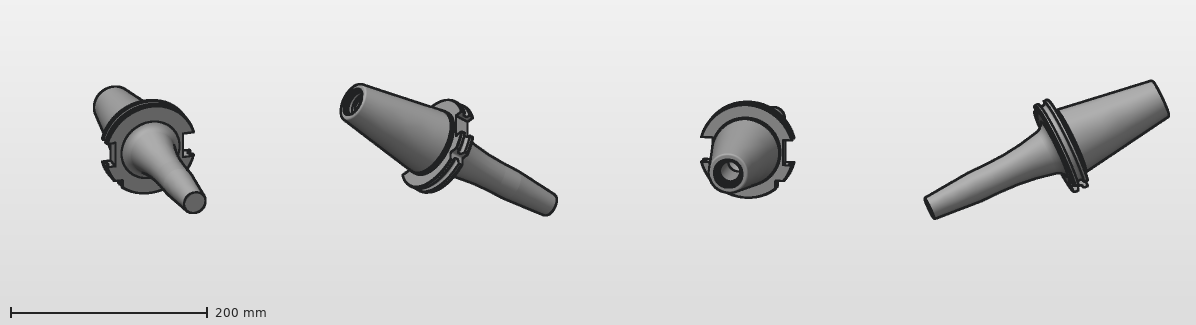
import cadquery as cq
import math

length = 261.5

taper_length = 101.2
taper_radius = 35.0
taper_slope = 7 / 48
tail_radius = taper_radius - taper_slope * taper_length
tail_fillet = 2.0

relief_end = 103.5
relief_radius = 34.3
collar_radius = 35.0

flange_start = 105.2
flange_end = 120.9
flange_radius = 48.7
front_bevel = 0.5
back_bevel_length = 1.5
back_bevel_depth = 0.8
groove_center = 112.7
groove_mouth_width = 6.5
groove_floor_width = 4.2
groove_floor_radius = 45.0
groove_corner_fillet = 1.3

neck_start_radius = 31.0
neck_joint_x = 129.2
neck_joint_radius = 23.3
neck_end = 190.0
neck_radius = 16.0
cone_start = 210.5
tip_radius = 12.0
tip_bevel = 1.3
tip_bevel_depth = 0.5

slot_width = 26.0
slot_floor_minus_y = 37.7
slot_floor_plus_y = 35.0
notch_offset = 29.5
notch_fillet = 1.5

bore_mouth_radius = 14.6
bore_radius = 13.5
mouth_bevel = bore_mouth_radius - bore_radius
counterbore_depth = 3.1
middle_radius = 12.3
middle_depth = 9.2
inner_radius = 10.5
bore_depth = 57.5
drill_tip_angle = 118.0


def turned_body():
    """Revolve the outer profile, from the tail to the nose."""
    neck_drop = neck_joint_radius - neck_radius
    neck_run = neck_end - neck_joint_x
    neck_arc_radius = (neck_run**2 + neck_drop**2) / (2 * neck_drop)
    joint_angle = math.asin(neck_run / neck_arc_radius)
    mid_angle = joint_angle / 2
    neck_middle = (
        neck_end - neck_arc_radius * math.sin(mid_angle),
        neck_radius + neck_arc_radius * (1 - math.cos(mid_angle)),
    )
    profile = (
        cq.Workplane("XY")
        .moveTo(length, 0)
        .lineTo(length, tip_radius - tip_bevel_depth)
        .lineTo(length - tip_bevel, tip_radius)
        .lineTo(cone_start, neck_radius)
        .lineTo(neck_end, neck_radius)
        .threePointArc(neck_middle, (neck_joint_x, neck_joint_radius))
        .tangentArcPoint((flange_end, neck_start_radius), relative=False)
        .lineTo(flange_end, flange_radius - back_bevel_depth)
        .lineTo(flange_end - back_bevel_length, flange_radius)
        .lineTo(flange_start + front_bevel, flange_radius)
        .lineTo(flange_start, flange_radius - front_bevel)
        .lineTo(flange_start, collar_radius)
        .lineTo(relief_end, collar_radius)
        .lineTo(relief_end, relief_radius)
        .lineTo(taper_length, relief_radius)
        .lineTo(taper_length, taper_radius)
        .lineTo(0, tail_radius)
        .lineTo(0, 0)
        .close()
    )
    body = profile.revolve(360, (0, 0, 0), (1, 0, 0))
    return body.faces("<X").edges().fillet(tail_fillet)


def gripper_groove():
    """Ring with sloping sides and rounded floor corners."""
    half_mouth = groove_mouth_width / 2
    half_floor = groove_floor_width / 2
    section = [
        (groove_center - half_mouth, flange_radius),
        (groove_center - half_floor, groove_floor_radius),
        (groove_center + half_floor, groove_floor_radius),
        (groove_center + half_mouth, flange_radius),
    ]
    ring = cq.Workplane("XY").polyline(section).close().revolve(360, (0, 0, 0), (1, 0, 0))
    floor_edges = ring.edges(cq.selectors.RadiusNthSelector(0))
    return floor_edges.fillet(groove_corner_fillet)


def flange_cutter(y_min, y_max, z_min, z_max):
    """Block that runs across the full flange width."""
    return cq.Workplane("XY").box(
        flange_end - flange_start, y_max - y_min, z_max - z_min, centered=False
    ).translate((flange_start, y_min, z_min))


def drive_slots():
    half_width = slot_width / 2
    minus_y = flange_cutter(-flange_radius, -slot_floor_minus_y, -half_width, half_width)
    plus_y = flange_cutter(slot_floor_plus_y, flange_radius, -half_width, half_width)
    return minus_y.union(plus_y)


def orientation_notch():
    block = flange_cutter(-flange_radius, -notch_offset, -flange_radius, -notch_offset)
    return block.edges("|X and >Y and >Z").fillet(notch_fillet)


def drawbar_bore():
    """Revolve the stepped bore, with a 45 degree shoulder at each step."""
    drill_tip_length = inner_radius / math.tan(math.radians(drill_tip_angle / 2))
    profile = (
        cq.Workplane("XY")
        .moveTo(0, 0)
        .lineTo(0, bore_mouth_radius)
        .lineTo(mouth_bevel, bore_radius)
        .lineTo(counterbore_depth, bore_radius)
        .lineTo(counterbore_depth + bore_radius - middle_radius, middle_radius)
        .lineTo(middle_depth, middle_radius)
        .lineTo(middle_depth + middle_radius - inner_radius, inner_radius)
        .lineTo(bore_depth, inner_radius)
        .lineTo(bore_depth + drill_tip_length, 0)
        .close()
    )
    return profile.revolve(360, (0, 0, 0), (1, 0, 0))


body = turned_body().cut(gripper_groove())
result = body.cut(drive_slots()).cut(orientation_notch()).cut(drawbar_bore())